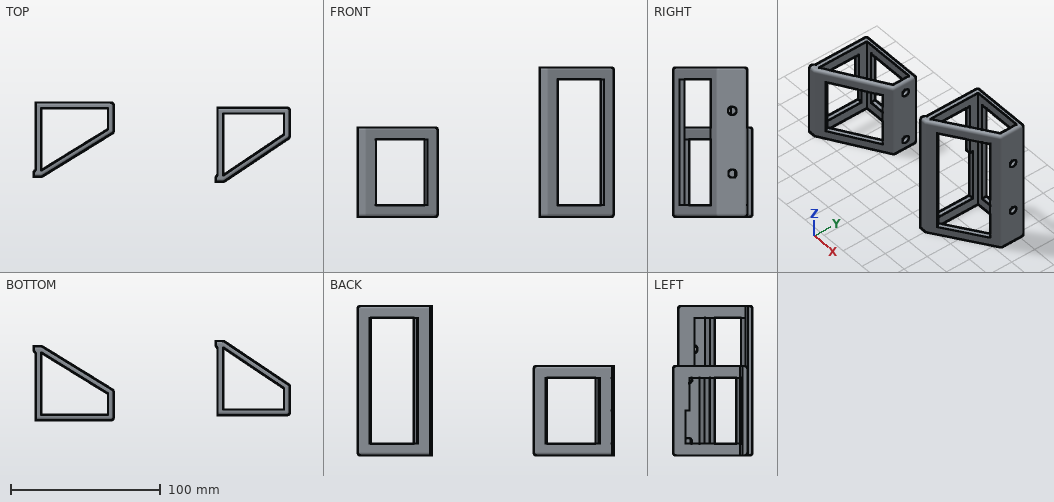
import cadquery as cq
import math

total_length = 171.2
frame_depth = 49.7
side_wall_depth = 20.0
wall = 4.0
edge_radius = 2.0

small_width = 53.6
small_height = 60.0
small_shift_y = 3.5
large_width = 49.7
large_height = 100.0

lip_step = 1.28
lip_thickness = 3.0
lip_slope_end = 4.8
lip_front_width = 5.5

window_margin = 8.0
notch_depth = 2.5
left_stile = 11.0
hole_diameter = 5.5
hole_spacing = 42.0


def make_outer_block(width, height):
    """Solid wedge with its lip, rounded everywhere except around the left face."""
    outline = [
        (0, 0),
        (lip_front_width, 0),
        (width, frame_depth - side_wall_depth),
        (width, frame_depth),
        (lip_step, frame_depth),
        (lip_step, lip_slope_end),
        (0, lip_thickness),
    ]
    block = cq.Workplane("XY").polyline(outline).close().extrude(height)
    corners = block.edges("|Z").filter(lambda e: e.Center().x > lip_step + edge_radius)
    rims = block.faces("<Z or >Z").edges().filter(lambda e: e.Center().x > lip_step + edge_radius / 2)
    return corners.add(rims).fillet(edge_radius)


def make_cavity(width, height):
    """Interior space, one wall thickness inside each outer wall."""
    left = lip_step + wall
    right = width - wall
    run = width - lip_front_width
    rise = frame_depth - side_wall_depth
    slope = rise / run
    wall_along_y = wall * math.hypot(run, rise) / run

    def inner_front(x):
        return (x - lip_front_width) * slope + wall_along_y

    outline = [
        (left, inner_front(left)),
        (right, inner_front(right)),
        (right, frame_depth - wall),
        (left, frame_depth - wall),
    ]
    return cq.Workplane("XY").polyline(outline).close().extrude(height)


def make_sloped_window(width, height):
    """Cutter square to the sloped front wall."""
    run = width - lip_front_width
    rise = frame_depth - side_wall_depth
    slope_length = math.hypot(run, rise)
    cutter = cq.Workplane("XY").box(
        slope_length - 2 * window_margin, 2 * wall, height - 2 * window_margin
    )
    cutter = cutter.rotate((0, 0, 0), (0, 0, 1), math.degrees(math.atan2(rise, run)))
    return cutter.translate((lip_front_width + run / 2, rise / 2, height / 2))


def make_back_window(width, height):
    left = lip_step + window_margin
    return cq.Workplane("XY").box(
        width - window_margin - left, 2 * wall, height - 2 * window_margin, centered=(False, True, False)
    ).translate((left, frame_depth, window_margin))


def make_left_window(height):
    """Stepped window: the lower half reaches further back than the upper half."""
    back = frame_depth - left_stile
    outline = [
        (lip_slope_end, window_margin),
        (back + notch_depth, window_margin),
        (back + notch_depth, height / 2),
        (back, height / 2),
        (back, height - window_margin),
        (lip_slope_end, height - window_margin),
    ]
    return cq.Workplane("YZ").polyline(outline).close().extrude(lip_step + wall)


def make_screw_holes(width, height):
    hole_y = frame_depth - side_wall_depth / 2
    centers = [(hole_y, height / 2 + side * hole_spacing / 2) for side in (-1, 1)]
    return (
        cq.Workplane("YZ", origin=(width - 2 * wall, 0, 0))
        .pushPoints(centers)
        .circle(hole_diameter / 2)
        .extrude(3 * wall)
    )


def make_frame(width, height):
    return (
        make_outer_block(width, height)
        .cut(make_cavity(width, height))
        .cut(make_sloped_window(width, height))
        .cut(make_back_window(width, height))
        .cut(make_left_window(height))
        .cut(make_screw_holes(width, height))
    )


small_frame = make_frame(small_width, small_height).translate((0, small_shift_y, 0))
large_frame = make_frame(large_width, large_height).translate((total_length - large_width, 0, 0))

result = cq.Compound.makeCompound([small_frame.val(), large_frame.val()])